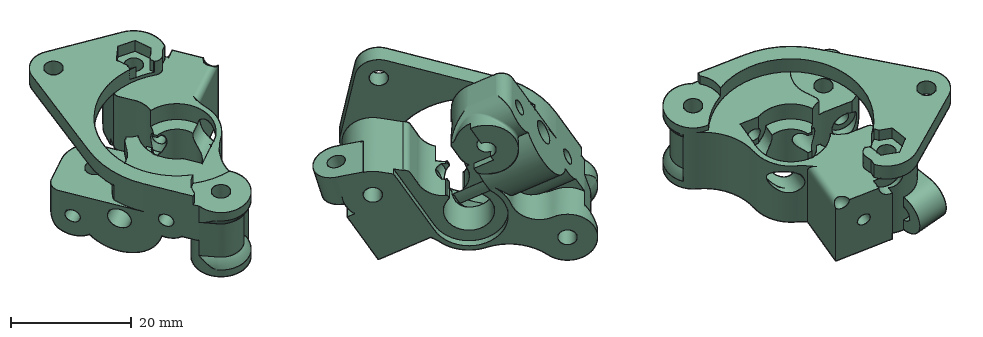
import cadquery as cq
import math

plate_top = 17.0
deck_z = 13.8
shelf_z = 10.5
ear_top = 15.0
gear_pocket_floor = 10.1
nut_floor = 14.5
relief_depth = 1.3
far = 60.0

gear_bore_r = 4.23
gear_spacing = 8.58
gear_pocket_r = 6.5
gear_wall_r = 7.45
right_flank_r = 10.0
front_flank_r = 4.9
recess_r = 13.7
rim_r = 16.5
front_y = -rim_r
front_end_x = 8.71

slot_back_y = 4.49
slot_front_y = -4.24
cusp_x = -4.3
cusp_y = 1.5
cusp_half_width = 0.45
cusp_root_y = 1.8
throat_half_width = 1.0
slot_back_arc_x = -9.6
slot_back_arc_mid = (-6.34, 3.68)
slot_corner_xy = (-12.95, 5.3)
slot_corner_mid = (-12.6, 4.75)
slot_corner_end_x = -11.9

screw_hole_d = 3.2
tip_xy = (-23.14, 4.2)
tip_r = 4.0
nut_xy = (-11.7, 11.7)
nut_boss_r = 5.5
nut_column_r = 5.1
nut_corner_d = 6.38
nut_flat_turn = 30.0
nut_mouth = [(-8.8, 11.42), (-7.88, 11.23), (-11.2, 8.21), (-11.86, 8.95)]
arm_start_deg = 40
arm_root_xy, arm_tip_xy, arm_round_mid = (-7.5, 14.2), (-7.05, 12.9), (-7.1, 12.1)
arm_end_deg = 125.0
nut_turn = 15.0
ear_xy = (12.0, -12.0)
ear_r = 5.0
shelf_xy = (-11.1, -9.5)
shelf_r = 5.85
shelf_clearance_r = 5.45
clearance_end_x = -7.44
clearance_end_depth = 0.6
clearance_from_deg, clearance_to_deg = -32, 34
clearance_flare_mid = (-6.3, -14.25)
clearance_flare_end = (-5.54, -15.54)
shelf_pillar_r = 5.3
shelf_corner_r = 2.1
pillar_fillet_r = 0.4

pin_hole_d = 2.7
pin_head_d = 5.1
pin_head_floor_y = -5.7
left_pin_x, left_pin_z, left_lobe_r = -12.46, 5.41, 4.48
right_pin_x, right_pin_z, right_lobe_r = 3.96, 9.8, 4.0
filament_x, filament_z, filament_lobe_r = -4.25, 7.55, 7.64
filament_d = 2.4
filament_wide_d = 4.2
filament_wide_end_y = 2.4
filament_cone_end_y = 3.4
arch_z = 6.9

waist_r = 3.85
waist_face_x = 9.75
waist_disc_z = 1.6
waist_start_z = 3.46
waist_mid_z = 7.33
waist_shoulder_r, waist_shoulder_z = 4.55, 2.65
waist_from_deg = -77.0
waist_sweep_deg = 120.0

rear_left_x, rear_right_x, rear_y = -9.58, 1.03, 17.75
rear_round_r = 1.18
rear_round_x = rear_right_x - rear_round_r
blend_start_y, blend_mid_y = 8.66, 7.8
blend_end_xy = (2.5, 7.0)
rear_notch_r = 1.4
rear_groove_r = 2.5
rear_groove_y = 15.9

lug_r = 4.0
lug_width = 6.0
lug_hole_d = 3.1
lug_pivot_xy = (-18.0, 15.14)
lug_length = 4.6

relief_front_y, relief_back_y = -9.4, 6.5


def polar(center, radius, degrees):
    angle = math.radians(degrees)
    return (center[0] + radius * math.cos(angle), center[1] + radius * math.sin(angle))


def disc(center, radius, z0, z1):
    return cq.Workplane("XY", origin=(*center, z0)).circle(radius).extrude(z1 - z0)


def rod_along_y(x, z, diameter, y0, y1):
    return cq.Workplane("XZ", origin=(x, y0, z)).circle(diameter / 2).extrude(y0 - y1)


def block(x0, x1, y0, y1, z0, z1):
    return cq.Workplane("XY").box(x1 - x0, y1 - y0, z1 - z0, centered=False).translate((x0, y0, z0))


def tangent_direction(start, start_r, end, end_r):
    """Angle of the normal where a line touches two circles, with the circles to its left."""
    dx, dy = end[0] - start[0], end[1] - start[1]
    heading = math.degrees(math.atan2(dy, dx))
    return heading % 360 - 90 + math.degrees(math.asin((start_r - end_r) / math.hypot(dx, dy)))


def mirrored(point):
    """Mirror in the diagonal from the gear axis to the ear."""
    return (-point[1], -point[0])


def flank(radius):
    """Start, middle and end of a concave arc touching the gear wall and the ear, on the +X side."""
    ear_distance = math.hypot(*ear_xy)
    reach = gear_wall_r + radius
    cosine = (reach**2 + ear_distance**2 - (ear_r + radius) ** 2) / (2 * reach * ear_distance)
    ear_bearing = math.degrees(math.atan2(ear_xy[1], ear_xy[0]))
    start_bearing = ear_bearing + math.degrees(math.acos(cosine))
    center = polar((0, 0), reach, start_bearing)
    to_ear = math.degrees(math.atan2(ear_xy[1] - center[1], ear_xy[0] - center[0])) % 360
    to_gear = start_bearing + 180
    return [polar(center, radius, turn) for turn in (to_gear, (to_gear + to_ear) / 2, to_ear)]


waist_touch = polar(ear_xy, waist_r, waist_from_deg)
waist_face_slope = -1 / math.tan(math.radians(waist_from_deg))
waist_face_end = (waist_face_x, waist_touch[1] + (waist_face_x - waist_touch[0]) * waist_face_slope)


def gear_wall():
    """Wall round the gear bore with its web to the ear."""
    right_start, right_mid, right_end = flank(right_flank_r)
    front_start, front_mid, front_end = [mirrored(point) for point in flank(front_flank_r)]
    web = (
        cq.Workplane("XY")
        .moveTo(*right_start)
        .threePointArc(right_mid, right_end)
        .lineTo(*ear_xy)
        .lineTo(*front_end)
        .threePointArc(front_mid, front_start)
        .lineTo(0, 0)
        .close()
        .extrude(deck_z)
    )
    return disc((0, 0), gear_wall_r, 0, deck_z).union(web)


def lower_meeting(first, first_r, second, second_r):
    """Lower crossing of two circles, the first being further left."""
    dx, dz = second[0] - first[0], second[1] - first[1]
    apart = math.hypot(dx, dz)
    along = (apart**2 + first_r**2 - second_r**2) / (2 * apart)
    turn = math.degrees(math.acos(along / first_r))
    return polar(first, first_r, math.degrees(math.atan2(dz, dx)) - turn)


def front_body():
    """Front block: lobes round the holes along Y, trimmed to the plan outlines, on a screw pillar."""
    left_pin = (left_pin_x, left_pin_z)
    right_pin = (right_pin_x, right_pin_z)
    filament = (filament_x, filament_z)
    left_join = lower_meeting(left_pin, left_lobe_r, filament, filament_lobe_r)
    right_join = lower_meeting(filament, filament_lobe_r, right_pin, right_lobe_r)
    arch_x = right_pin_x + math.sqrt(right_lobe_r**2 - (right_pin_z - arch_z) ** 2)
    lobes = (
        cq.Workplane("XZ")
        .moveTo(left_pin_x - left_lobe_r, deck_z)
        .lineTo(left_pin_x - left_lobe_r, left_pin_z)
        .threePointArc((left_pin_x, left_pin_z - left_lobe_r), left_join)
        .threePointArc((filament_x, filament_z - filament_lobe_r), right_join)
        .threePointArc(polar(right_pin, right_lobe_r, -70), (arch_x, arch_z))
        .lineTo(ear_xy[0], arch_z)
        .lineTo(ear_xy[0], deck_z)
        .close()
        .extrude(-front_y)
    )
    below_z = filament_z - filament_lobe_r
    rim_left_y = -math.sqrt(rim_r**2 - shelf_xy[0] ** 2)
    high = (
        cq.Workplane("XY", origin=(0, 0, below_z))
        .moveTo(*ear_xy)
        .lineTo(0, 0)
        .lineTo(shelf_xy[0], 0)
        .lineTo(shelf_xy[0], rim_left_y)
        .threePointArc(polar((0, 0), rim_r, 250), (0, front_y))
        .lineTo(front_end_x, front_y)
        .lineTo(*waist_face_end)
        .lineTo(*waist_touch)
        .close()
        .extrude(deck_z - below_z)
    )
    high = high.cut(shelf_clearance())
    left_x = shelf_xy[0] - shelf_r
    low = block(left_x, 0, front_y, shelf_xy[1], below_z, shelf_z)
    low = low.edges("|Z and <X and <Y").fillet(shelf_corner_r)
    low = low.union(disc(shelf_xy, shelf_r, below_z, shelf_z))
    pillar = disc(shelf_xy, shelf_pillar_r, 0, left_pin_z)
    body = lobes.intersect(high.union(low)).union(pillar)
    seam_reach = 1.0
    seam_low = (left_x, shelf_xy[1] - seam_reach, pillar_fillet_r)
    seam_high = (left_pin_x, shelf_xy[1] + seam_reach, left_pin_z)
    seam = body.edges(cq.selectors.BoxSelector(seam_low, seam_high))
    return seam.fillet(pillar_fillet_r)


def shelf_clearance():
    """Space for the screw head on the shelf, open to the left and to the front."""
    side_upper = polar(shelf_xy, shelf_clearance_r, clearance_to_deg)
    side_lower = polar(shelf_xy, shelf_clearance_r, clearance_from_deg)
    return (
        cq.Workplane("XY", origin=(0, 0, shelf_z))
        .moveTo(-far, 0)
        .lineTo(clearance_end_x, 0)
        .lineTo(clearance_end_x, slot_front_y - clearance_end_depth)
        .lineTo(*side_upper)
        .threePointArc(polar(shelf_xy, shelf_clearance_r, 0), side_lower)
        .threePointArc(clearance_flare_mid, clearance_flare_end)
        .lineTo(clearance_flare_end[0], -far)
        .lineTo(-far, -far)
        .close()
        .extrude(deck_z - shelf_z)
    )


def rear_body():
    """Rear block, the column under the nut and the back side of the slot."""
    body = block(rear_left_x, rear_right_x, 0, rear_y, 0, deck_z)
    dx, dy = slot_corner_xy[0] - nut_xy[0], slot_corner_xy[1] - nut_xy[1]
    spread = math.degrees(math.acos(nut_column_r / math.hypot(dx, dy)))
    touch = polar(nut_xy, nut_column_r, math.degrees(math.atan2(dy, dx)) - spread)
    column = (
        cq.Workplane("XY")
        .moveTo(*nut_xy)
        .lineTo(*touch)
        .lineTo(*slot_corner_xy)
        .threePointArc(slot_corner_mid, (slot_corner_end_x, slot_back_y))
        .lineTo(0, slot_back_y)
        .lineTo(0, nut_xy[1])
        .close()
        .extrude(deck_z)
    )
    body = body.union(column).union(disc(nut_xy, nut_column_r, 0, deck_z))
    blend = (
        cq.Workplane("XY")
        .moveTo(rear_round_x, blend_start_y)
        .threePointArc((rear_right_x, blend_mid_y), blend_end_xy)
        .lineTo(rear_round_x, blend_end_xy[1])
        .close()
        .extrude(deck_z)
    )
    rounded = (
        cq.Workplane("XZ")
        .moveTo(rear_right_x, deck_z)
        .lineTo(rear_right_x, deck_z - rear_round_r)
        .radiusArc((rear_round_x, deck_z), -rear_round_r)
        .close()
        .extrude(-far)
    )
    body = body.cut(rounded).union(blend)
    notch_at = (rear_round_x, rear_y, deck_z)
    body = body.cut(cq.Workplane("XY").sphere(rear_notch_r).translate(notch_at))
    groove = rod_along_y(rear_left_x, deck_z, 2 * rear_groove_r, rear_groove_y, rear_y)
    return body.cut(groove)


def hinge_lug():
    """Lug turned out from the column, with a cross hole."""
    lug = (
        cq.Workplane("YZ")
        .moveTo(-lug_length, 0)
        .lineTo(0, 0)
        .threePointArc((lug_r, lug_r), (0, 2 * lug_r))
        .lineTo(-lug_length, 2 * lug_r)
        .close()
        .extrude(lug_width)
    )
    hole = cq.Workplane("YZ", origin=(0, 0, lug_r)).circle(lug_hole_d / 2).extrude(lug_width)
    turned = lug.cut(hole).rotate((0, 0, 0), (0, 0, 1), nut_turn)
    return turned.translate((*lug_pivot_xy, 0))


def plate():
    """Mounting plate and rim round the recess, with the nut pocket."""
    height = plate_top - deck_z
    upper = tangent_direction(nut_xy, nut_boss_r, tip_xy, tip_r)
    lower = tangent_direction(tip_xy, tip_r, (0, 0), rim_r)
    rim_mid = polar((0, 0), rim_r, (lower + 270) / 2)
    boss_mid = polar(nut_xy, nut_boss_r, (arm_start_deg + upper) / 2)
    outline = (
        cq.Workplane("XY", origin=(0, 0, deck_z))
        .moveTo(*polar(nut_xy, nut_boss_r, upper))
        .lineTo(*polar(tip_xy, tip_r, upper))
        .threePointArc((tip_xy[0] - tip_r, tip_xy[1]), polar(tip_xy, tip_r, lower))
        .lineTo(*polar((0, 0), rim_r, lower))
        .threePointArc(rim_mid, (0, front_y))
        .lineTo(front_end_x, front_y)
        .lineTo(front_end_x, ear_xy[1])
        .lineTo(*ear_xy)
        .lineTo(0, 0)
        .lineTo(*polar((0, 0), recess_r, arm_end_deg))
        .threePointArc(arm_round_mid, arm_tip_xy)
        .lineTo(*arm_root_xy)
        .lineTo(*polar(nut_xy, nut_boss_r, arm_start_deg))
        .threePointArc(boss_mid, polar(nut_xy, nut_boss_r, upper))
        .close()
        .extrude(height)
    )
    outline = outline.cut(disc(ear_xy, ear_r, deck_z, plate_top))
    nut = (
        cq.Workplane("XY", origin=(*nut_xy, nut_floor))
        .transformed(rotate=(0, 0, nut_turn + nut_flat_turn))
        .polygon(6, nut_corner_d)
        .extrude(plate_top)
    )
    mouth = (
        cq.Workplane("XY", origin=(0, 0, nut_floor))
        .polyline(nut_mouth)
        .close()
        .extrude(plate_top)
    )
    return outline.cut(nut).cut(mouth)


def ear():
    """Corner ear and the flat face joining it to the front wall."""
    face = (
        cq.Workplane("XY", origin=(0, 0, arch_z))
        .moveTo(*ear_xy)
        .lineTo(front_end_x, ear_xy[1])
        .lineTo(front_end_x, front_y)
        .lineTo(*waist_face_end)
        .lineTo(*waist_touch)
        .close()
        .extrude(ear_top - arch_z)
    )
    return disc(ear_xy, ear_r, 0, ear_top).union(face)


def waist_groove():
    """Groove round the outer side of the ear, run out straight to the front."""
    outer_r = ear_r + 1.0
    mirror_z = 2 * waist_mid_z
    profile = (
        cq.Workplane("XZ")
        .moveTo(outer_r, waist_disc_z)
        .lineTo(ear_r, waist_disc_z)
        .threePointArc((waist_shoulder_r, waist_shoulder_z), (waist_r, waist_start_z))
        .lineTo(waist_r, mirror_z - waist_start_z)
        .threePointArc((waist_shoulder_r, mirror_z - waist_shoulder_z), (ear_r, mirror_z - waist_disc_z))
        .lineTo(outer_r, mirror_z - waist_disc_z)
        .close()
    )
    run_out = profile.extrude(ear_r)
    around = profile.wires().toPending().revolve(waist_sweep_deg, (0, 0, 0), (0, 1, 0))
    groove = around.union(run_out)
    return groove.rotate((0, 0, 0), (0, 0, 1), waist_from_deg).translate((*ear_xy, 0))


def idler_slot():
    """Slot for the idler gear, joined to the bore between two cusps."""
    cusp_side_x = cusp_x - cusp_half_width
    idler_arc_mid = polar((-gear_spacing, 0), -slot_front_y, -55)
    slot = (
        cq.Workplane("XY")
        .moveTo(-far, slot_back_y)
        .lineTo(slot_back_arc_x, slot_back_y)
        .threePointArc(slot_back_arc_mid, (cusp_side_x, cusp_root_y))
        .lineTo(cusp_side_x, -cusp_root_y)
        .threePointArc(idler_arc_mid, (-gear_spacing, slot_front_y))
        .lineTo(-far, slot_front_y)
        .close()
        .extrude(deck_z)
    )
    throat = block(cusp_x - throat_half_width, cusp_x + throat_half_width, -cusp_y, cusp_y, 0, deck_z)
    return slot.union(throat)


def gear_pocket():
    """Stepped pocket over the bore, with the trough of the right pin."""
    pocket = disc((0, 0), gear_pocket_r, gear_pocket_floor, deck_z)
    corner = block(0, gear_pocket_r, pin_head_floor_y, 0, gear_pocket_floor, deck_z)
    trough = rod_along_y(right_pin_x, right_pin_z, pin_head_d, -gear_pocket_r, 0)
    trough_out = rod_along_y(right_pin_x, right_pin_z, pin_head_d, 0, far)
    trough_floor = right_pin_z - pin_head_d / 2
    side = block(right_pin_x, gear_pocket_r, pin_head_floor_y, gear_pocket_r, trough_floor, deck_z)
    plan = disc((0, 0), gear_pocket_r, 0, deck_z)
    plan = plan.union(block(0, gear_pocket_r, pin_head_floor_y, 0, 0, deck_z))
    lower = side.union(trough).intersect(plan)
    return pocket.union(corner).union(lower).union(trough_out)


def vertical_holes():
    """Gear bore and the screw holes along Z."""
    holes = disc((0, 0), gear_bore_r, 0, plate_top)
    for center in (tip_xy, nut_xy, ear_xy):
        holes = holes.union(disc(center, screw_hole_d / 2, 0, plate_top))
    return holes.union(disc(shelf_xy, screw_hole_d / 2, 0, deck_z))


def cross_holes():
    """Pin and filament holes along Y."""
    holes = rod_along_y(right_pin_x, right_pin_z, pin_hole_d, front_y, far)
    holes = holes.union(rod_along_y(left_pin_x, left_pin_z, pin_hole_d, front_y, 0))
    holes = holes.union(rod_along_y(left_pin_x, left_pin_z, pin_head_d, pin_head_floor_y, 0))
    holes = holes.union(rod_along_y(filament_x, filament_z, filament_d, front_y, rear_y))
    wide = rod_along_y(filament_x, filament_z, filament_wide_d, front_y, filament_wide_end_y)
    cone = (
        cq.Workplane("XZ", origin=(filament_x, filament_wide_end_y, filament_z))
        .circle(filament_wide_d / 2)
        .workplane(offset=filament_wide_end_y - filament_cone_end_y)
        .circle(filament_d / 2)
        .loft()
    )
    return holes.union(wide).union(cone)


def underside_relief():
    """Shallow recess under the slot and round the bore."""
    open_x = shelf_xy[0] - shelf_r
    relief = block(open_x, -gear_spacing, relief_front_y, relief_back_y, 0, relief_depth)
    relief = relief.union(block(open_x, 0, pin_head_floor_y, relief_back_y, 0, relief_depth))
    return relief.union(disc((0, 0), relief_back_y, 0, relief_depth))


result = gear_wall().union(front_body()).union(rear_body()).union(plate()).union(ear())
result = result.cut(disc((0, 0), recess_r, deck_z, plate_top))
throat_clearance = block(cusp_x - throat_half_width, cusp_x + throat_half_width, -cusp_y, cusp_y, 0, deck_z)
for cut in (waist_groove(), idler_slot(), gear_pocket(), cross_holes(), underside_relief()):
    result = result.cut(cut)
result = result.cut(throat_clearance)
result = result.union(hinge_lug()).cut(vertical_holes())